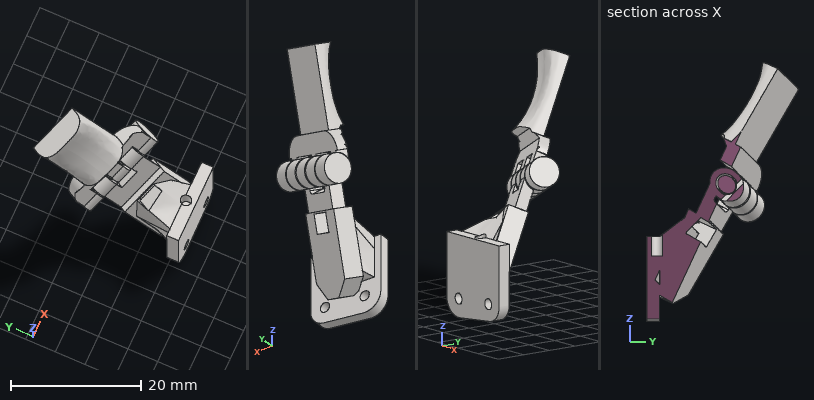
import cadquery as cq
import math

TURN_Z, TURN_Y, TURN_X = 10.0, -30.0, 65.0

barrel_radius = 4.8 / 2
pin_radius = 2.6 / 2
pin_hole_radius = 2.98 / 2
hinge_half_width = 7.5
upper_middle_half = 1.3
upper_slot_outer = 4.6
link_half_width = 4.4
link_slot_half = 1.65
knuckle_reach = 2.7
knuckle_draft = 16.0
web_overlap = 0.8
web_inset = 0.03

upper_plate_back = 0.4
upper_plate_front = 2.2
upper_plate_top = 6.0
upper_corner_radius = 3.5
overhang_start = 5.0
finger_base = 6.5
finger_tip = 19.4
finger_back = 1.2
finger_slab_front = 2.1
finger_half_width = 4.35
finger_height = 3.1
finger_flat_half = 0.85
finger_side_inset, finger_side_share = 0.32, 0.57
finger_shoulder_inset, finger_shoulder_share = 1.35, 0.88
waist_ratio = 0.5

link_back = 0.1
link_front = 2.12
block_top = -6.07
block_side_end = -17.0
block_chamfer = 2.7
block_back = -0.1
block_front = 3.25

neck_top = -6.35
neck_shoulder = -8.9
neck_side_end = -16.0
neck_end = -18.0
neck_half_width = 3.9
neck_flat_half = 1.8
head_left, head_right = -3.6, 4.2
head_bottom = -14.5
head_twist = 0.4
head_corner_z = -9.4
window_floor = -8.05
window_front = 5.5
cavity_floor = -9.5
cavity_front = 2.3

mount_right = 8.28
mount_width = 13.1
mount_top = -7.18
mount_height = 13.06
mount_back = -11.14
mount_thickness = 2.0
mount_left_radius = 3.0
mount_right_radius = 2.7
mount_bottom_angle = 5.5
mount_hole_diameter = 1.7
channel_diameter = 1.7
channel_x, channel_y = 1.6, -11.53
channel_depth = 3.0


def box(u, v, w):
    """Box along the digit axes, each argument a (low, high) pair."""
    size = [high - low for low, high in (u, v, w)]
    return cq.Workplane("XY").box(*size, centered=False).translate((u[0], v[0], w[0]))


def barrel(radius, start, end):
    """Cylinder on the hinge axis."""
    return cq.Workplane("YZ").workplane(offset=start).circle(radius).extrude(end - start)


def place(body):
    """Turn a body from the digit axes into its final pose."""
    origin = (0, 0, 0)
    turned = body.rotate(origin, (0, 0, 1), TURN_Z)
    turned = turned.rotate(origin, (0, 1, 0), TURN_Y)
    return turned.rotate(origin, (1, 0, 0), TURN_X)


def drafted_web(outline, front, back):
    """Plate from an outline on its front face, narrowing towards the back."""
    sketch = cq.Workplane("XY").workplane(offset=front).polyline(outline).close()
    return sketch.extrude(back - front, taper=knuckle_draft)



def finger_section(v, ratio):
    """D-shaped section at v; ratio scales how far it rises in front of its back slab."""
    base = finger_slab_front
    height = finger_height * ratio
    half = finger_half_width
    side = [
        (half, base),
        (half - finger_side_inset, base + finger_side_share * height),
        (half - finger_shoulder_inset, base + finger_shoulder_share * height),
    ]
    mirrored = [(-u, w) for u, w in reversed(side)]
    right_end = (finger_flat_half, base + height)
    left_start = (-finger_flat_half, base + height)
    left_end = (-half, finger_back)
    plane = cq.Plane(origin=(0, v, 0), xDir=(1, 0, 0), normal=(0, -1, 0))
    return (
        cq.Workplane(plane)
        .moveTo(half, finger_back)
        .spline(side + [right_end], tangents=[(0, 1), (-1, 0)], includeCurrent=True)
        .lineTo(*left_start)
        .spline(mirrored + [left_end], tangents=[(-1, 0), (0, -1)], includeCurrent=True)
        .close()
    )


def finger():
    stations = [(finger_base, 1), ((finger_base + finger_tip) / 2, waist_ratio), (finger_tip, 1)]
    return cq.Workplane(cq.Solid.makeLoft([finger_section(v, ratio).val() for v, ratio in stations]))


def upper_plate():
    """Rounded plate above the hinge whose front flares out at 45 degrees to carry the finger."""
    half = hinge_half_width
    overhang = finger_base - overhang_start
    front = upper_plate_front + overhang
    plate = box((-half, half), (0, upper_plate_top), (upper_plate_back, front))
    plate = plate.edges("|Z and >Y").fillet(upper_corner_radius)
    root = finger_section(finger_base, 1).extrude(finger_base - overhang_start)
    profile = [
        (knuckle_reach, upper_plate_back),
        (knuckle_reach, upper_plate_front),
        (overhang_start, upper_plate_front),
        (finger_base, front),
        (finger_base, upper_plate_back),
    ]
    limit = cq.Workplane("YZ").workplane(offset=-half).polyline(profile).close().extrude(2 * half)
    return plate.union(root).intersect(limit)


def upper_digit():
    half = hinge_half_width
    knuckles = [
        (-half, -upper_slot_outer),
        (-upper_middle_half, upper_middle_half),
        (upper_slot_outer, half),
    ]
    web_top = knuckle_reach + web_overlap
    body = upper_plate().union(finger())
    for start, end in knuckles:
        low, high = start + web_inset, end - web_inset
        outline = [(low, 0), (high, 0), (high, web_top), (low, web_top)]
        body = body.union(drafted_web(outline, upper_plate_front, upper_plate_back))
        body = body.union(barrel(barrel_radius, start, end))
    return body.union(barrel(pin_radius, -half, half))



def link():
    half = link_half_width - web_inset
    slot = link_slot_half + web_inset
    foot = block_top - 1
    outline = [(-half, foot), (half, foot), (half, 0), (slot, 0), (slot, -knuckle_reach),
               (-slot, -knuckle_reach), (-slot, 0), (-half, 0)]
    body = drafted_web(outline, link_front, link_back)
    for start, end in [(-link_half_width, -link_slot_half), (link_slot_half, link_half_width)]:
        body = body.union(barrel(barrel_radius, start, end))
    return body.cut(barrel(pin_hole_radius, -link_half_width, link_half_width))


def block():
    half = link_half_width
    tip_half = half - block_chamfer
    end = block_side_end - block_chamfer
    outline = [(-half, block_top), (-half, block_side_end), (-tip_half, end),
               (tip_half, end), (half, block_side_end), (half, block_top)]
    sketch = cq.Workplane("XY").workplane(offset=block_back).polyline(outline).close()
    return sketch.extrude(block_front - block_back)


def neck():
    """Twisting loft from an octagon on the block to a rectangle on the mounting plate."""
    half, flat = neck_half_width, neck_flat_half
    octagon = [
        (-flat, neck_top),
        (flat, neck_top),
        (half, neck_shoulder),
        (half, neck_side_end),
        (flat, neck_end),
        (-flat, neck_end),
        (-half, neck_side_end),
        (-half, neck_shoulder),
    ]
    foot = place(cq.Workplane("XY").workplane(offset=block_front).polyline(octagon).close()).val()
    mid_x = (head_left + head_right) / 2
    mid_z = (mount_top + head_bottom) / 2
    rectangle = [
        (head_left, mount_top),
        (mid_x + head_twist, mount_top),
        (head_right, mount_top),
        (head_right, mid_z - head_twist),
        (head_right, head_bottom),
        (mid_x - head_twist, head_bottom),
        (head_left, head_bottom),
        (head_left, head_corner_z),
    ]
    head = cq.Wire.makePolygon([cq.Vector(x, mount_back, z) for x, z in rectangle], close=True)
    return cq.Workplane(cq.Solid.makeLoft([foot, head], True))


def window():
    """Opening through the block below the link, deeper behind its front wall."""
    across = (-neck_flat_half, neck_flat_half)
    opening = box(across, (window_floor, neck_top), (block_back, window_front))
    return opening.union(box(across, (cavity_floor, neck_top), (block_back, cavity_front)))


def mount():
    radius = mount_left_radius
    left = mount_right - mount_width
    arc_x = left + radius
    arc_z = mount_top - mount_height + radius
    slant = math.radians(mount_bottom_angle)

    def lower_edge(x):
        """Height at x of the sloping lower edge, tangent to the lower left corner arc."""
        return arc_z - radius / math.cos(slant) + (x - arc_x) * math.tan(slant)

    right_x = mount_right - mount_right_radius
    right_z = lower_edge(right_x) + mount_right_radius / math.cos(slant)
    outline = [
        (left, mount_top),
        (left, lower_edge(left)),
        (mount_right, lower_edge(mount_right)),
        (mount_right, mount_top),
    ]
    back = cq.Workplane("XZ", origin=(0, mount_back, 0))
    plate = back.polyline(outline).close().extrude(mount_thickness)
    plate = plate.edges("|Y and <X and <Z").fillet(mount_left_radius)
    lower_right = cq.selectors.NearestToPointSelector((mount_right, mount_back, lower_edge(mount_right)))
    plate = plate.edges("|Y").edges(lower_right).fillet(mount_right_radius)
    holes = back.pushPoints([(arc_x, arc_z), (right_x, right_z)])
    return plate.cut(holes.circle(mount_hole_diameter / 2).extrude(mount_thickness))


def base():
    """One solid: mounting plate, neck, block and link."""
    body = mount().union(place(link().union(block())))
    body = body.union(neck()).cut(place(window()))
    channel = cq.Workplane("XY", origin=(channel_x, channel_y, mount_top - channel_depth))
    return body.cut(channel.circle(channel_diameter / 2).extrude(2 * channel_depth))


upper = place(upper_digit())
lower = base()
result = cq.Compound.makeCompound([upper.val(), lower.val()])